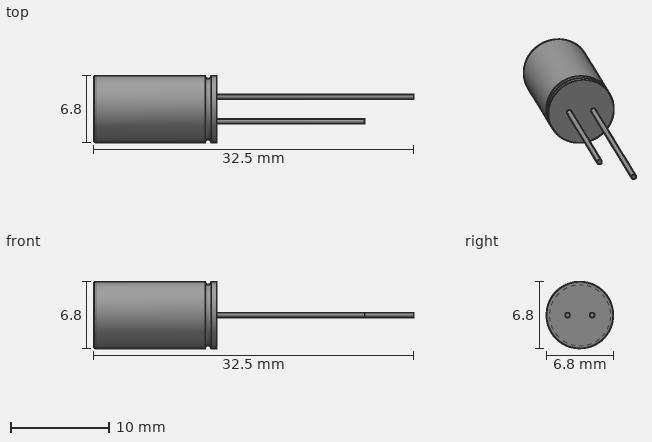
import cadquery as cq

can_diameter = 6.8
can_length = 12.5
closed_end_radius = 0.2

groove_radius = 0.3
rim_length = 0.6

lead_diameter = 0.5
lead_pitch = 2.5
long_lead_length = 20.0
short_lead_length = 15.0


def make_can():
    can = cq.Workplane("YZ").circle(can_diameter / 2).extrude(can_length)
    return can.faces("<X").edges().fillet(closed_end_radius)


def make_crimp_groove():
    groove_x = can_length - rim_length - groove_radius
    return (
        cq.Workplane("XY")
        .center(groove_x, can_diameter / 2)
        .circle(groove_radius)
        .revolve(360, (0, -can_diameter / 2), (1, -can_diameter / 2))
    )


def make_lead(y, length):
    return (
        cq.Workplane("YZ", origin=(can_length, y, 0))
        .circle(lead_diameter / 2)
        .extrude(length)
    )


result = (
    make_can()
    .cut(make_crimp_groove())
    .union(make_lead(lead_pitch / 2, long_lead_length))
    .union(make_lead(-lead_pitch / 2, short_lead_length))
)